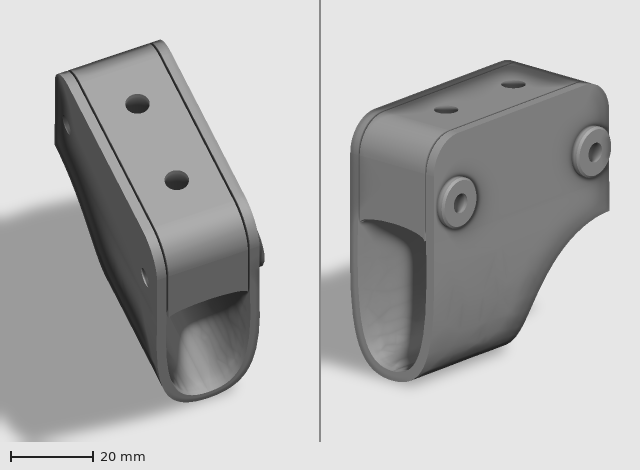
import cadquery as cq

length = 65.0
height = 64.7
wall_half_width = 13.5
wall = 2.5
corner_radius = 9.0

belly_top = 38.3

belly_drop = 26.65
belly_lean = 0.7
outer_bottom_reach = 12.2
inner_bottom_reach = 9.2

cutout_radius = 29.9

pin_hole_diameter = 5.0
pin_half_spacing = 24.95
pin_height = 47.3
boss_diameter = 12.8
boss_height = 2.1
boss_chamfer = 0.5

side_gap = 0.6
block_half_width = wall_half_width - wall - side_gap
arch_rise = 2.35
mount_hole_diameter = 6.0
mount_half_spacing = pin_half_spacing / 2


def u_outline(half_width, bottom, bottom_reach):
    """U-shaped solid along X, open at the top, with its lowest line at the given height."""
    lean_y = half_width + belly_lean
    lean_z = belly_top - belly_drop
    return (
        cq.Workplane("YZ", origin=(-length / 2, 0, 0))
        .moveTo(half_width, height)
        .lineTo(half_width, belly_top)
        .bezier([(half_width, belly_top), (lean_y, lean_z), (bottom_reach, bottom), (0, bottom)])
        .bezier([(0, bottom), (-bottom_reach, bottom), (-lean_y, lean_z), (-half_width, belly_top)])
        .lineTo(-half_width, height)
        .close()
        .extrude(length)
    )


def round_top_corners(body):
    """Round the two upper corners at the ends of the length."""
    return body.edges("|Y and >Z").fillet(corner_radius)


def cross_cylinders(diameter, start_y, end_y):
    """Two cylinders along Y on the pin axes."""
    return (
        cq.Workplane("XZ", origin=(0, end_y, 0))
        .pushPoints([(-pin_half_spacing, pin_height), (pin_half_spacing, pin_height)])
        .circle(diameter / 2)
        .extrude(end_y - start_y)
    )


def pin_holes():
    """Cutters that pass through both walls, the block and the bosses."""
    reach = wall_half_width + 2 * boss_height
    return cross_cylinders(pin_hole_diameter, -reach, reach)


def make_clip():
    """U-shaped clip with two bosses and a quarter-round opening."""
    outside = round_top_corners(u_outline(wall_half_width, 0, outer_bottom_reach))
    inside = u_outline(wall_half_width - wall, wall, inner_bottom_reach)
    cutout = (
        cq.Workplane("XZ", origin=(-length / 2, 0, 0))
        .circle(cutout_radius)
        .extrude(2 * wall_half_width, both=True)
    )
    bosses = (
        cross_cylinders(boss_diameter, wall_half_width, wall_half_width + boss_height)
        .faces(">Y")
        .chamfer(boss_chamfer)
    )
    return outside.cut(inside).cut(cutout).union(bosses).cut(pin_holes())


def make_block():
    """Filler block with an arched underside and two vertical mounting holes."""
    slab = (
        cq.Workplane("XY", origin=(0, 0, belly_top))
        .rect(length, 2 * block_half_width)
        .extrude(height - belly_top)
    )
    arch = (
        cq.Workplane("YZ", origin=(-length / 2, 0, belly_top))
        .ellipse(block_half_width, arch_rise)
        .extrude(length)
    )
    mount_holes = (
        cq.Workplane("XY", origin=(0, 0, belly_top))
        .pushPoints([(-mount_half_spacing, 0), (mount_half_spacing, 0)])
        .circle(mount_hole_diameter / 2)
        .extrude(height - belly_top)
    )
    return round_top_corners(slab).cut(arch).cut(mount_holes).cut(pin_holes())


clip = make_clip()
block = make_block()

result = cq.Compound.makeCompound([clip.val(), block.val()])